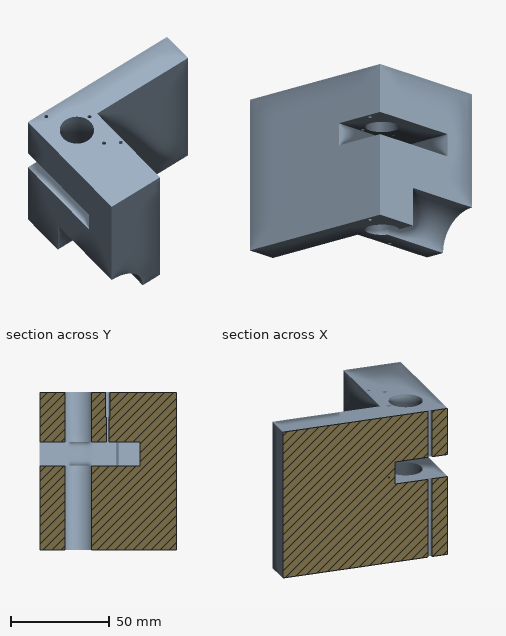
import cadquery as cq

length_x = 69.4
length_y = 89.65
height = 80.3
side_arm_thickness = 17.3
front_arm_thickness = 31.1

slot_length_x = 50.8
slot_depth_y = 28.4
slot_floor = 42.9
slot_height = 11.8
slot_ceiling = slot_floor + slot_height

relief_start_x = 24.7
relief_radius = 20.0

bore_diameter = 17.4
bore_center = (19.45, 16.4)
pin_diameter = 2.0
through_pin_centers = [(3.0, 9.5), (39.4, 29.1)]
upper_pin_center = (16.5, 26.8)
stepped_center = (34.5, 22.1)
stepped_small_diameter = 1.1
stepped_large_depth = (height - slot_ceiling) / 2


def box(size_x, size_y, size_z, bottom=0):
    """Box whose front left corner lies on the Z axis."""
    return cq.Workplane("XY", origin=(0, 0, bottom)).box(size_x, size_y, size_z, centered=False)


def vertical_hole(center, diameter, bottom):
    """Cutter running from the given level up to the top face."""
    plane = cq.Workplane("XY", origin=(*center, bottom))
    return plane.circle(diameter / 2).extrude(height - bottom)


front_arm = box(length_x, front_arm_thickness, height)
side_arm = box(side_arm_thickness, length_y, height)
body = front_arm.union(side_arm)

body = body.cut(box(slot_length_x, slot_depth_y, slot_height, slot_floor))

relief = (
    cq.Workplane("YZ", origin=(relief_start_x, 0, 0))
    .circle(relief_radius)
    .extrude(length_x - relief_start_x)
)
body = body.cut(relief)

body = body.cut(vertical_hole(bore_center, bore_diameter, 0))
for center in through_pin_centers:
    body = body.cut(vertical_hole(center, pin_diameter, 0))

body = body.cut(vertical_hole(upper_pin_center, pin_diameter, slot_ceiling))
body = body.cut(vertical_hole(stepped_center, stepped_small_diameter, slot_ceiling))
body = body.cut(vertical_hole(stepped_center, pin_diameter, height - stepped_large_depth))

result = body